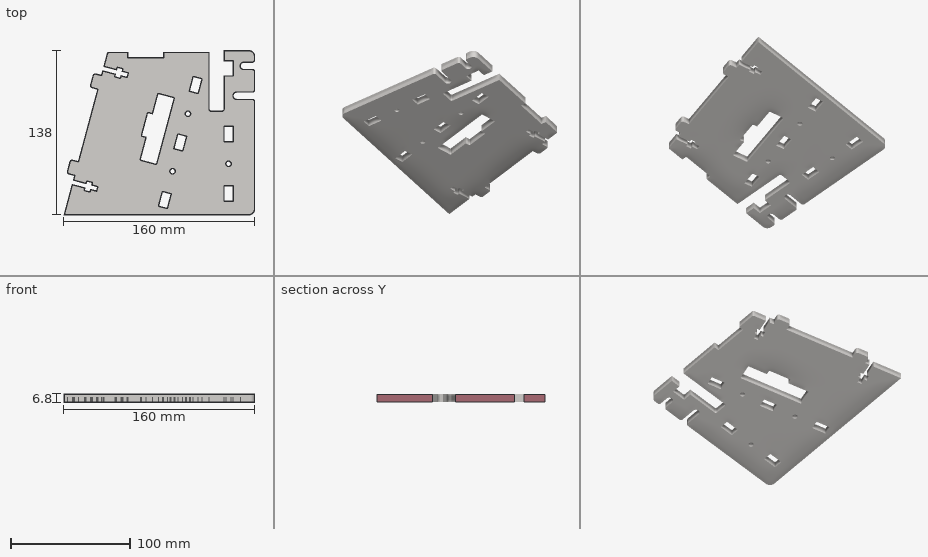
import cadquery as cq
import math

length = 160.0
height = 138.0
thickness = 6.8
body_height = 136.4
lean_angle = 15.0
outer_corner_radius = 5.0
top_left_radius = 1.5

recess_left, recess_right = 53.5, 83.5
recess_depth = 4.4

deep_slot_left, deep_slot_right = 121.7, 134.25
deep_slot_floor = 87.2
deep_slot_radius = 1.5

window_length = 12.7
window_width = 7.6
window_pitch = 50.0

upright_column_x = deep_slot_right + window_width / 2
lowest_window_y = 17.9
upright_windows_y = (lowest_window_y, lowest_window_y + window_pitch)
hook_window_y = 123.0

leaning_column_inset = 78.45
leaning_column_middle = 83.95

hole_diameter = 4.4

side_slot_width = 6.0
side_slots = ((125.15, 147.9), (100.05, 141.9))
side_slot_mouth_radius = 2.0

left_edge_middle = 77.7
tab_offset = 37.5
tab_width = 12.0
tab_projection = thickness
tab_radius = 2.0
t_slot_offset = 49.45
t_slot_width = 3.8
t_slot_depth = 21.1
nut_slot_inset = 11.0
nut_slot_thickness = 4.9
nut_slot_width = 8.2
nut_slot_radius = 0.5

opening_start, opening_end = 61.0, 118.9
opening_near, opening_far = 49.7, 63.9
step_start, step_end = 80.8, 101.2
step_near = 45.5
opening_radius = 0.7


def upright_block(x_start, x_end, y_start, y_end):
    """Full-thickness block with sides parallel to X and Y."""
    return (
        cq.Workplane("XY")
        .box(x_end - x_start, y_end - y_start, thickness, centered=False)
        .translate((x_start, y_start, 0))
    )


def lean(shape):
    """Turn a shape built with the left edge along +Y to its leaning position."""
    return shape.rotate((0, 0, 0), (0, 0, 1), -lean_angle)


def round_corner(plate, x, y, radius):
    """Fillet the upright edge of the plate that stands at (x, y)."""
    corner_edge = cq.selectors.NearestToPointSelector((x, y, thickness / 2))
    return plate.edges("|Z").edges(corner_edge).fillet(radius)


def blank():
    """Plate outline with the recess and the deep slot, before the finer cuts."""
    top_left_x = body_height * math.tan(math.radians(lean_angle))
    plate = (
        cq.Workplane("XY")
        .moveTo(0, 0)
        .lineTo(length, 0)
        .lineTo(length, height)
        .lineTo(deep_slot_right, height)
        .lineTo(deep_slot_right, deep_slot_floor)
        .lineTo(deep_slot_left, deep_slot_floor)
        .lineTo(deep_slot_left, body_height)
        .lineTo(recess_right, body_height)
        .lineTo(recess_right, body_height - recess_depth)
        .lineTo(recess_left, body_height - recess_depth)
        .lineTo(recess_left, body_height)
        .lineTo(top_left_x, body_height)
        .close()
        .extrude(thickness)
    )

    plate = round_corner(plate, length, 0, outer_corner_radius)
    plate = round_corner(plate, length, height, outer_corner_radius)
    plate = round_corner(plate, deep_slot_left, deep_slot_floor, deep_slot_radius)
    plate = round_corner(plate, deep_slot_right, deep_slot_floor, deep_slot_radius)
    return round_corner(plate, top_left_x, body_height, top_left_radius)


def edge_tab(along):
    """Rounded tab standing out from the left edge, with a root buried in the plate."""
    root = tab_projection
    tab = upright_block(-tab_projection, root, along - tab_width / 2, along + tab_width / 2)
    return lean(tab.edges("|Z and <X").fillet(tab_radius))


def t_slot(along):
    """Bolt slot entering from the left edge, crossed by a nut pocket."""
    overrun = 1.0
    bolt = upright_block(-overrun, t_slot_depth, along - t_slot_width / 2, along + t_slot_width / 2)
    nut = upright_block(
        nut_slot_inset,
        nut_slot_inset + nut_slot_thickness,
        along - nut_slot_width / 2,
        along + nut_slot_width / 2,
    ).edges("|Z").fillet(nut_slot_radius)
    return lean(bolt.union(nut))


def stepped_opening():
    main = upright_block(opening_near, opening_far, opening_start, opening_end)
    step = upright_block(step_near, opening_far, step_start, step_end)
    rounded_main = main.edges("|Z").fillet(opening_radius)
    rounded_step = step.edges("|Z and <X").fillet(opening_radius)
    return lean(rounded_main.union(rounded_step))


def window(x, y):
    half_width = window_width / 2
    half_length = window_length / 2
    return upright_block(x - half_width, x + half_width, y - half_length, y + half_length)


def round_hole(x, y):
    return cq.Workplane("XY").center(x, y).circle(hole_diameter / 2).extrude(thickness)


def side_slot(y, closed_end_x):
    """Round-ended slot that opens through the right edge with rounded lips."""
    half_width = side_slot_width / 2
    lip = side_slot_mouth_radius
    diagonal = lip * (1 - math.sqrt(0.5))
    return (
        cq.Workplane("XY")
        .moveTo(length, y + half_width + lip)
        .threePointArc(
            (length - diagonal, y + half_width + diagonal),
            (length - lip, y + half_width),
        )
        .lineTo(closed_end_x + half_width, y + half_width)
        .threePointArc((closed_end_x, y), (closed_end_x + half_width, y - half_width))
        .lineTo(length - lip, y - half_width)
        .threePointArc(
            (length - diagonal, y - half_width - diagonal),
            (length, y - half_width - lip),
        )
        .close()
        .extrude(thickness)
    )


result = blank()

for side in (-1, 1):
    result = result.union(edge_tab(left_edge_middle + side * tab_offset))
    result = result.cut(t_slot(left_edge_middle + side * t_slot_offset))

result = result.cut(stepped_opening())

for step in (-1, 0, 1):
    window_along = leaning_column_middle + step * window_pitch
    result = result.cut(lean(window(leaning_column_inset, window_along)))

for side in (-1, 1):
    hole_along = leaning_column_middle + side * window_pitch / 2
    result = result.cut(lean(round_hole(leaning_column_inset, hole_along)))

for window_y in (*upright_windows_y, hook_window_y):
    result = result.cut(window(upright_column_x, window_y))
result = result.cut(round_hole(upright_column_x, sum(upright_windows_y) / 2))

for slot_y, slot_end_x in side_slots:
    result = result.cut(side_slot(slot_y, slot_end_x))